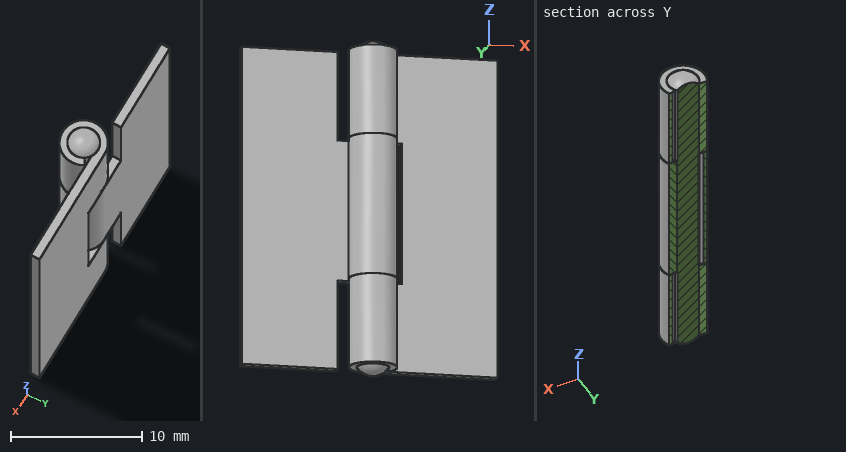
import cadquery as cq
import math

hinge_width = 20.0
leaf_height = 24.98
leaf_thickness = 0.8
knuckle_diameter = 3.7
pin_diameter = 2.5
middle_knuckle_length = 11.05
notch_edge_x = 2.5
dome_height = 0.65
curl_end_angle = 33.0

knuckle_radius = knuckle_diameter / 2
pin_radius = pin_diameter / 2
half_width = hinge_width / 2
half_height = leaf_height / 2
leaf_inner_y = knuckle_radius - leaf_thickness
end_knuckle_length = (leaf_height - middle_knuckle_length) / 2
half_middle = middle_knuckle_length / 2


def on_circle(radius, degrees):
    angle = math.radians(degrees)
    return (radius * math.cos(angle), radius * math.sin(angle))


def make_plate(z_bottom, length):
    """Flat part of a leaf on the +X side, outside the knuckle notches."""
    return cq.Workplane("XY").box(
        half_width - notch_edge_x, leaf_thickness, length, centered=False
    ).translate((notch_edge_x, leaf_inner_y, z_bottom))


def make_knuckle(z_bottom, length):
    """Strip that leaves the plate and rolls around the pin to a radial tail end."""
    contact_x = math.sqrt(pin_radius**2 - leaf_inner_y**2)
    outline = (
        cq.Workplane("XY", origin=(0, 0, z_bottom))
        .moveTo(notch_edge_x, knuckle_radius)
        .lineTo(0, knuckle_radius)
        .threePointArc((-knuckle_radius, 0), (0, -knuckle_radius))
        .threePointArc(
            on_circle(knuckle_radius, (curl_end_angle - 90) / 2),
            on_circle(knuckle_radius, curl_end_angle),
        )
        .lineTo(*on_circle(pin_radius, curl_end_angle))
        .threePointArc(on_circle(pin_radius, (curl_end_angle - 90) / 2), (0, -pin_radius))
        .threePointArc((-pin_radius, 0), (0, pin_radius))
        .threePointArc(
            on_circle(pin_radius, (90 + math.degrees(math.atan2(leaf_inner_y, contact_x))) / 2),
            (contact_x, leaf_inner_y),
        )
        .lineTo(notch_edge_x, leaf_inner_y)
        .close()
    )
    return outline.extrude(length)


def make_leaf(knuckle_spans):
    """Leaf on the +X side with one knuckle for each (bottom, length) span."""
    leaf = make_plate(-half_height, leaf_height)
    for z_bottom, length in knuckle_spans:
        leaf = leaf.union(make_knuckle(z_bottom, length))
    return leaf.clean().solids()


def make_pin():
    """Round pin with a spherical dome at each end."""
    dome_radius = (pin_radius**2 + dome_height**2) / (2 * dome_height)
    dome_center_z = half_height + dome_height - dome_radius
    half_rim_angle = math.asin(pin_radius / dome_radius) / 2
    arc_x = dome_radius * math.sin(half_rim_angle)
    arc_z = dome_center_z + dome_radius * math.cos(half_rim_angle)
    tip_z = half_height + dome_height
    return (
        cq.Workplane("XZ")
        .moveTo(0, -tip_z)
        .threePointArc((arc_x, -arc_z), (pin_radius, -half_height))
        .lineTo(pin_radius, half_height)
        .threePointArc((arc_x, arc_z), (0, tip_z))
        .close()
        .revolve(360, (0, 0, 0), (0, 1, 0))
    )


right_leaf = make_leaf([(-half_height, end_knuckle_length), (half_middle, end_knuckle_length)])

left_leaf = make_leaf([(-half_middle, middle_knuckle_length)]).mirror("YZ").solids()

pin = make_pin()

result = cq.Compound.makeCompound([right_leaf.val(), left_leaf.val(), pin.val()])